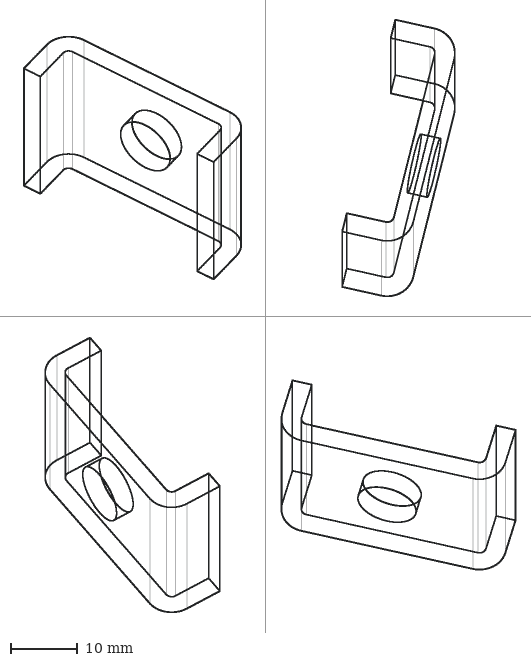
import cadquery as cq

width = 34.5
depth = 10.0
height = 25.0

thickness = 3.0
inner_bend_radius = 1.0
outer_bend_radius = inner_bend_radius + thickness

hole_diameter = 9.0


def centred_block(block_width, block_depth, back_y):
    """Full-height block centred on X and Z, with its +Y face at back_y."""
    block = cq.Workplane("XY").box(block_width, block_depth, height)
    return block.translate((0, back_y - block_depth / 2, 0))


back_y = depth / 2
outer_body = centred_block(width, depth, back_y).edges("|Z and >Y").fillet(outer_bend_radius)
channel_space = centred_block(
    width - 2 * thickness, depth - thickness, back_y - thickness
).edges("|Z and >Y").fillet(inner_bend_radius)

hole = cq.Workplane("XZ").circle(hole_diameter / 2).extrude(depth, both=True)

result = outer_body.cut(channel_space).cut(hole)